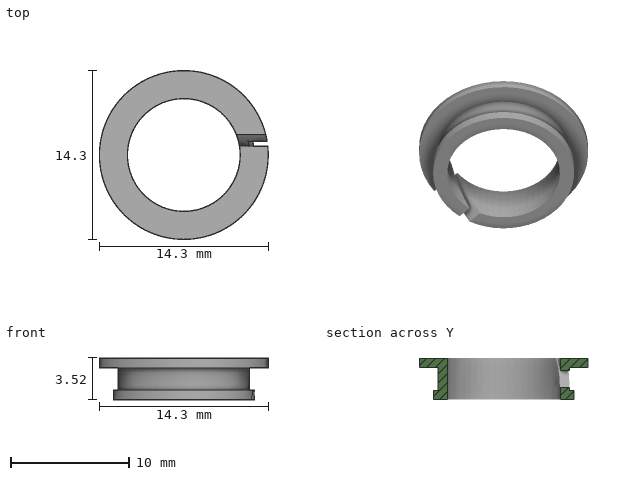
import cadquery as cq
import math

flange_diameter = 14.29
neck_diameter = 11.15
lip_diameter = 11.92
bore_diameter = 9.52
total_height = 3.52
rim_height = 0.81
split_width = 0.8
split_angle = 35.0

mid_height = total_height / 2


def disc(diameter, bottom, height):
    """Solid disc on the Z axis."""
    return cq.Workplane("XY").workplane(offset=bottom).circle(diameter / 2).extrude(height)


def slanted_split():
    """Slab cutting the +X wall, centred at mid-height and leaning toward +Y at the top."""
    reach = flange_diameter / 2
    slab_length = 2 * total_height / math.cos(math.radians(split_angle))
    slab = cq.Workplane("XY").box(reach, split_width, slab_length, centered=(False, True, True))
    slab = slab.rotate((0, 0, 0), (1, 0, 0), -split_angle)
    return slab.translate((0, 0, mid_height))


lip = disc(lip_diameter, 0, rim_height)
neck = disc(neck_diameter, 0, total_height)
flange = disc(flange_diameter, total_height - rim_height, rim_height)
bore = disc(bore_diameter, 0, total_height)

result = neck.union(lip).union(flange).cut(bore).cut(slanted_split())